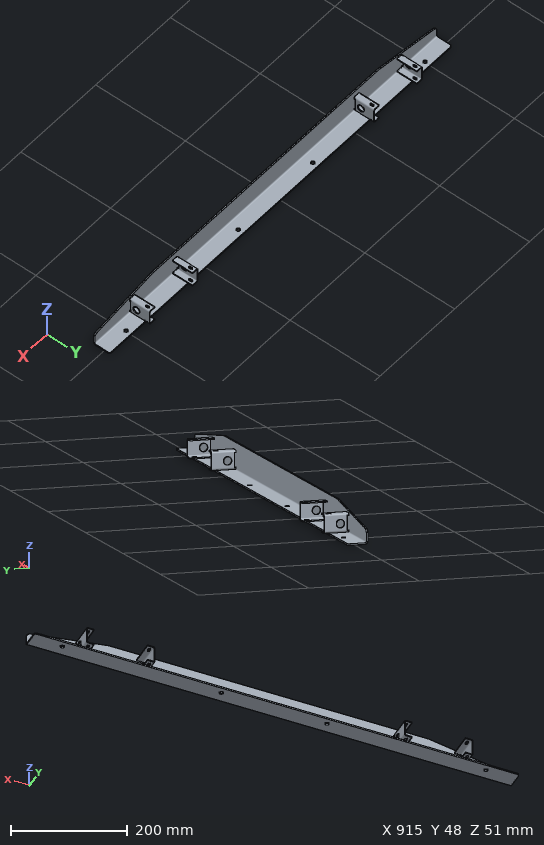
import cadquery as cq

length = 915.0
plate_height = 51.0
sheet = 3.0
bend_radius = 6.0
end_height = 26.0
flat_top_length = 604.0
plate_corner_radius = 8.0
flange_depth = 37.0
flange_corner_radius = 4.0

mount_hole_diameter = 7.0
mount_hole_y = 25.0
mount_hole_offsets = (100.0, 400.0)

bracket_sheet = 2.0
bracket_width = 15.0
bracket_height = 34.0
bracket_back = 48.0
bracket_bottom = 4.0
bracket_bend_radius = 4.0
web_relief = 3.0
outer_web_face = 365.0
inner_web_face = 235.0
web_hole_diameter = 15.0
web_hole_y = 18.0
web_hole_z = 20.0
flange_slot_width = 4.0
flange_slot_length = 8.0
flange_slot_y = 37.5


def angle_profile():
    """L-shaped bent sheet section, extruded along X."""
    section = (
        cq.Workplane("YZ")
        .moveTo(0, plate_height)
        .lineTo(0, 0)
        .lineTo(flange_depth, 0)
        .lineTo(flange_depth, sheet)
        .lineTo(sheet, sheet)
        .lineTo(sheet, plate_height)
        .close()
        .extrude(length / 2, both=True)
    )
    section = section.edges(cq.selectors.NearestToPointSelector((0, 0, 0))).fillet(bend_radius)
    inner_corner = cq.selectors.NearestToPointSelector((0, sheet, sheet))
    return section.edges(inner_corner).fillet(bend_radius - sheet)


def plate_outline():
    """Front silhouette with sloped shoulders and rounded end corners."""
    return (
        cq.Workplane("XZ")
        .moveTo(-length / 2, 0)
        .lineTo(length / 2, 0)
        .lineTo(length / 2, end_height)
        .lineTo(flat_top_length / 2, plate_height)
        .lineTo(-flat_top_length / 2, plate_height)
        .lineTo(-length / 2, end_height)
        .close()
        .extrude(-flange_depth)
        .edges("|Y")
        .edges(">X or <X")
        .edges(">Z")
        .fillet(plate_corner_radius)
    )


def rail():
    """Bent rail trimmed to its silhouette, with the mounting holes through its flange."""
    body = angle_profile().intersect(plate_outline())
    body = body.edges("|Z and >Y").fillet(flange_corner_radius)
    mount_points = [(side * x, mount_hole_y) for side in (-1, 1) for x in mount_hole_offsets]
    holes = cq.Workplane("XY").pushPoints(mount_points).circle(mount_hole_diameter / 2).extrude(sheet)
    return body.cut(holes)


def bracket_block(web_face, opening, inset):
    """Block with rounded web edges; inset moves its web, top and bottom inwards from the channel's skin."""
    depth = bracket_back - sheet
    middle_x = web_face + opening * (bracket_width / 2 + inset)
    web_side = "<X" if opening > 0 else ">X"
    return (
        cq.Workplane("XY", origin=(middle_x, sheet + depth / 2, bracket_bottom + bracket_height / 2))
        .box(bracket_width, depth, bracket_height - 2 * inset)
        .edges("|Y and " + web_side)
        .fillet(bracket_bend_radius - inset)
    )


def bracket(web_face, opening):
    """Channel with its web at X = web_face; opening is +1 or -1, the way its flanges point."""
    channel = bracket_block(web_face, opening, 0).cut(bracket_block(web_face, opening, bracket_sheet))
    web_hole = (
        cq.Workplane("YZ", origin=(web_face, web_hole_y, web_hole_z))
        .circle(web_hole_diameter / 2)
        .extrude(opening * bracket_sheet)
    )
    flange_slots = (
        cq.Workplane("XY", origin=(web_face + opening * bracket_width / 2, flange_slot_y, bracket_bottom))
        .slot2D(flange_slot_length, flange_slot_width, 90)
        .extrude(bracket_height)
    )
    relief_middle = (web_face, sheet + web_relief / 2, bracket_bottom + bracket_height / 2)
    relief_height = bracket_height - 2 * bracket_bend_radius
    relief = cq.Workplane("XY", origin=relief_middle).box(2 * bracket_sheet, web_relief, relief_height)
    return channel.cut(web_hole).cut(flange_slots).cut(relief)


result = rail()
for side in (-1, 1):
    result = result.union(bracket(side * outer_web_face, -side))
    result = result.union(bracket(side * inner_web_face, side))